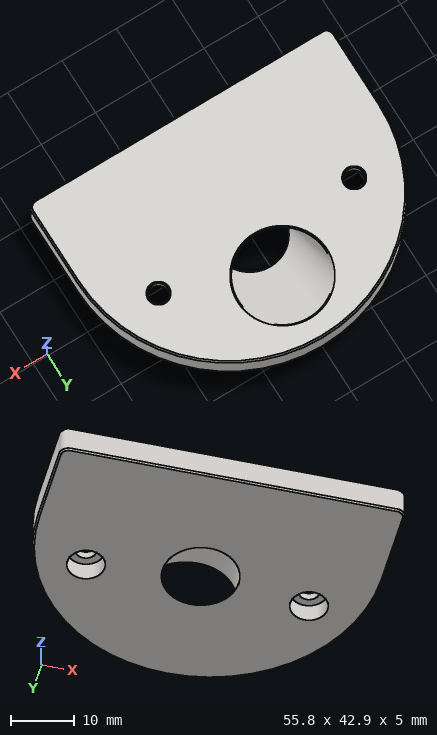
import cadquery as cq

width = 55.8
arc_radius = width / 2
straight_length = 15.0
thickness = 5.0
corner_radius = 1.5
edge_chamfer = 0.3

screw_x = 18.0
screw_y = 8.25
screw_diameter = 3.4
head_diameter = 6.0
head_depth = 3.35
screw_chamfer = 0.2

opening_y = 16.0
opening_top_diameter = 16.0
opening_bottom_diameter = 12.3
opening_shift = 9.75
opening_chamfer = 0.2


def make_plate():
    plate = (
        cq.Workplane("XY")
        .moveTo(-arc_radius, -straight_length)
        .lineTo(arc_radius, -straight_length)
        .lineTo(arc_radius, 0)
        .threePointArc((0, arc_radius), (-arc_radius, 0))
        .close()
        .extrude(thickness)
    )
    plate = plate.edges("|Z and <Y").fillet(corner_radius)
    return plate.faces("<Z or >Z").edges().chamfer(edge_chamfer)


def top_countersink(x, y, diameter, chamfer):
    """Cone that breaks the top rim of a round hole."""
    radius = diameter / 2
    cone = cq.Solid.makeCone(radius, radius + chamfer, chamfer)
    return cone.translate(cq.Vector(x, y, thickness - chamfer))


def make_screw_hole(x):
    shank = cq.Workplane("XY").center(x, screw_y).circle(screw_diameter / 2).extrude(thickness)
    head = cq.Workplane("XY").center(x, screw_y).circle(head_diameter / 2).extrude(head_depth)
    return shank.union(head).union(top_countersink(x, screw_y, screw_diameter, screw_chamfer))


def make_slanted_opening():
    """Ruled funnel from the bottom face up to the lower edge of the rim chamfer."""
    return (
        cq.Workplane("XY")
        .center(0, opening_y - opening_shift)
        .circle(opening_bottom_diameter / 2)
        .workplane(offset=thickness - opening_chamfer)
        .center(0, opening_shift)
        .circle(opening_top_diameter / 2)
        .loft(ruled=True)
    )


result = make_plate().cut(make_slanted_opening())
result = result.cut(top_countersink(0, opening_y, opening_top_diameter, opening_chamfer))
for side in (-1, 1):
    result = result.cut(make_screw_hole(side * screw_x))